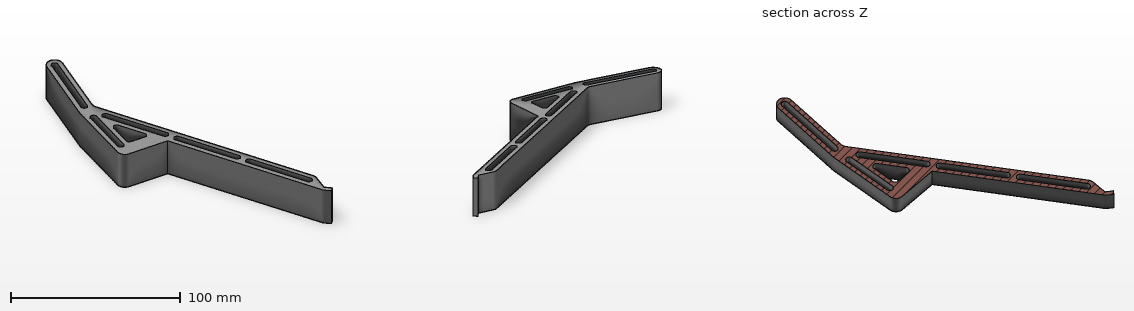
import cadquery as cq
import math

thickness = 24.0
strip_width = 10.0
half_strip = strip_width / 2
slot_width = 4.0
outer_radius = 5.0

handle_end = (0.0, 0.0)
handle_angle = 1.0
handle_length = 49.7
handle_slot_length = 45.0

base_angle = 8.0
base_length = 44.7
base_slot_length = 32.1
base_slot_to_corner = 5.0
side_angle = base_angle + 90

arm_angle = 40.05
arm_slot_start = (58.1, 9.0)
arm_slot_length = 40.0
arm_slot_pitch = 48.05
arm_slot_count = 3

window_offset = 5.0
window_wall = 10.0
window_radius = 2.0

hook_angle = 59.1
hook_width = 3.0
hook_length = 5.0
hook_tip_x = 177.4
hook_inner_tip_y = 106.43
crown_angle = 3.3


def along(point, angle, distance, left=0.0):
    """Point reached by moving along a direction and then to its left."""
    a = math.radians(angle)
    return (
        point[0] + distance * math.cos(a) - left * math.sin(a),
        point[1] + distance * math.sin(a) + left * math.cos(a),
    )


def meet(p, p_angle, q, q_angle):
    """Intersection of two lines, each given by a point and an angle."""
    pa = math.radians(p_angle)
    qa = math.radians(q_angle)
    dx = q[0] - p[0]
    dy = q[1] - p[1]
    distance = (dx * math.sin(qa) - dy * math.cos(qa)) / math.sin(qa - pa)
    return along(p, p_angle, distance)


def round_edge(body, point, radius):
    """Fillet the upright edge that stands at a plan point."""
    edge = cq.selectors.NearestToPointSelector((point[0], point[1], thickness / 2))
    return body.edges("|Z").edges(edge).fillet(radius)


base_start = along(handle_end, handle_angle, handle_length)
corner_center = along(base_start, base_angle, base_length)


def make_body():
    """Solid bracket with its rounded outline, before the openings are cut."""
    handle_top = along(handle_end, handle_angle, 0, half_strip)
    handle_bottom = along(handle_end, handle_angle, 0, -half_strip)
    handle_tip = along(handle_end, handle_angle, -half_strip)
    base_bottom = along(corner_center, base_angle, 0, -half_strip)
    side = along(corner_center, base_angle, outer_radius)
    arm_top = along(arm_slot_start, arm_angle, 0, half_strip)
    arm_bottom = along(arm_slot_start, arm_angle, 0, -half_strip)

    hook_tip_y = hook_inner_tip_y - hook_width * math.cos(math.radians(hook_angle))
    hook_tip = (hook_tip_x, hook_tip_y)
    hook_inner_tip = along(hook_tip, hook_angle, 0, hook_width)
    hook_root = along(hook_inner_tip, hook_angle, -hook_length)

    bend = meet(handle_bottom, handle_angle, base_bottom, base_angle)
    corner = meet(base_bottom, base_angle, side, side_angle)
    notch = meet(side, side_angle, arm_bottom, arm_angle)
    heel = meet(arm_bottom, arm_angle, hook_tip, hook_angle)
    crown = meet(arm_top, arm_angle, hook_root, crown_angle)
    elbow = meet(arm_top, arm_angle, handle_top, handle_angle)

    body = (
        cq.Workplane("XY")
        .moveTo(*handle_bottom)
        .lineTo(*bend)
        .lineTo(*corner)
        .lineTo(*notch)
        .lineTo(*heel)
        .lineTo(*hook_tip)
        .lineTo(*hook_inner_tip)
        .lineTo(*hook_root)
        .lineTo(*crown)
        .lineTo(*elbow)
        .lineTo(*handle_top)
        .threePointArc(handle_tip, handle_bottom)
        .close()
        .extrude(thickness)
    )
    for point in (bend, corner, heel, crown, elbow):
        body = round_edge(body, point, outer_radius)
    return body


def make_window():
    """Triangular cutter whose sides run parallel to the base, the side and the arm."""
    floor = along(corner_center, base_angle, 0, window_offset)
    wall = along(corner_center, base_angle, outer_radius - window_wall)
    roof = along(arm_slot_start, arm_angle, 0, -window_offset)
    corners = [
        meet(floor, base_angle, roof, arm_angle),
        meet(floor, base_angle, wall, side_angle),
        meet(wall, side_angle, roof, arm_angle),
    ]
    prism = cq.Workplane("XY").polyline(corners).close().extrude(thickness)
    return prism.edges("|Z").fillet(window_radius)


def make_slot(start, angle, length):
    """Slot cutter that begins at the centre of its first round end."""
    middle = along(start, angle, length / 2)
    return (
        cq.Workplane("XY")
        .center(*middle)
        .slot2D(length + slot_width, slot_width, angle)
        .extrude(thickness)
    )


def make_slots():
    """Cutters for the handle slot, the base slot and the row of arm slots."""
    base_slot_start = along(corner_center, base_angle, -base_slot_to_corner - base_slot_length)
    slots = [
        make_slot(handle_end, handle_angle, handle_slot_length),
        make_slot(base_slot_start, base_angle, base_slot_length),
    ]
    for index in range(arm_slot_count):
        start = along(arm_slot_start, arm_angle, index * arm_slot_pitch)
        slots.append(make_slot(start, arm_angle, arm_slot_length))
    return slots


result = make_body().cut(make_window())
for slot in make_slots():
    result = result.cut(slot)